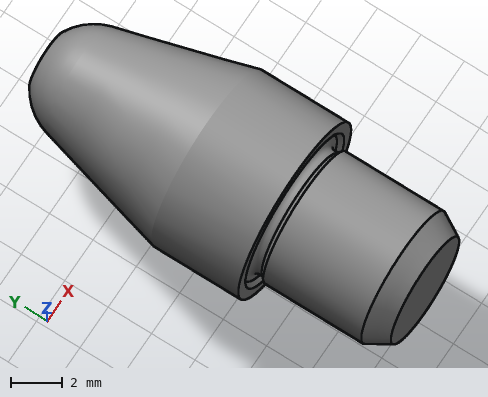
import cadquery as cq
import math


total_length = 17.4
collar_diameter = 8.0
shank_diameter = 6.0
neck_diameter = 5.6
shank_length = 6.0
collar_length = 4.0
dome_length = 1.5
taper_angle = math.radians(15)
lead_in_length = 1.0
lead_in_angle = math.radians(30)
neck_end = 0.3
relief_fillet = 0.3
recess_diameter = 7.0

collar_radius = collar_diameter / 2
nose_end = total_length - shank_length
dome_start = nose_end - dome_length
dome_base_radius = collar_radius - (dome_start - collar_length) * math.tan(taper_angle)
sphere_radius = dome_base_radius / math.cos(taper_angle)
sphere_center = dome_start - dome_base_radius * math.tan(taper_angle)


def sphere_section(y):
    """Radius of the spherical tip at position y."""
    return math.sqrt(sphere_radius**2 - (y - sphere_center) ** 2)


dome_middle = (dome_start + nose_end) / 2

shank_radius = shank_diameter / 2
shank_tip_radius = shank_radius - lead_in_length * math.tan(lead_in_angle)
neck_radius = neck_diameter / 2
groove_depth = shank_radius - neck_radius
recess_radius = recess_diameter / 2
recess_floor_radius = recess_radius - groove_depth
fillet_center_radius = neck_radius + relief_fillet
fillet_center_y = groove_depth - relief_fillet
fillet_offset = relief_fillet * math.sqrt(0.5)

half_profile = (
    cq.Workplane("XY")
    .moveTo(0, -shank_length)
    .lineTo(shank_tip_radius, -shank_length)
    .lineTo(shank_radius, lead_in_length - shank_length)
    .lineTo(shank_radius, -neck_end - groove_depth)
    .lineTo(neck_radius, -neck_end)
    .lineTo(neck_radius, fillet_center_y)
    .threePointArc(
        (fillet_center_radius - fillet_offset, fillet_center_y + fillet_offset),
        (fillet_center_radius, groove_depth),
    )
    .lineTo(recess_floor_radius, groove_depth)
    .lineTo(recess_radius, 0)
    .lineTo(collar_radius, 0)
    .lineTo(collar_radius, collar_length)
    .lineTo(dome_base_radius, dome_start)
    .threePointArc(
        (sphere_section(dome_middle), dome_middle),
        (sphere_section(nose_end), nose_end),
    )
    .lineTo(0, nose_end)
    .close()
)

result = half_profile.revolve(360, (0, 0, 0), (0, 1, 0))